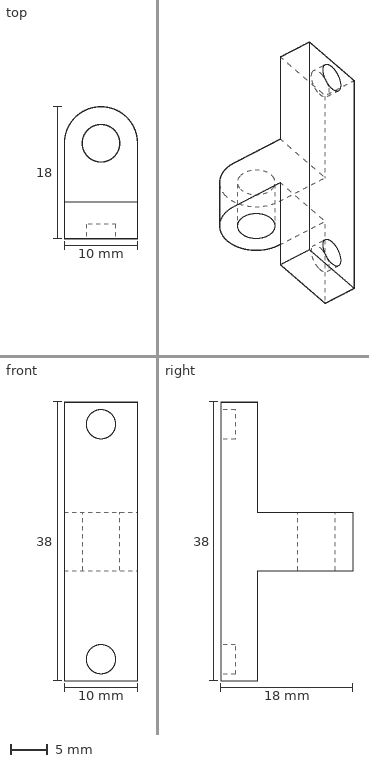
import cadquery as cq

plate_width = 10.0
plate_height = 38.0
plate_thickness = 5.0

overall_depth = 18.0
lug_height = 7.98
lug_radius = plate_width / 2
lug_center_y = overall_depth - lug_radius
lug_hole_diameter = 5.1

mount_hole_diameter = 4.0
mount_hole_depth = 2.0
mount_hole_spacing = 32.0


def make_plate():
    return cq.Workplane("XY").box(
        plate_width, plate_thickness, plate_height, centered=(True, False, True)
    )


def make_lug():
    return (
        cq.Workplane("XY")
        .workplane(offset=-lug_height / 2)
        .moveTo(-lug_radius, 0)
        .lineTo(lug_radius, 0)
        .lineTo(lug_radius, lug_center_y)
        .threePointArc((0, overall_depth), (-lug_radius, lug_center_y))
        .close()
        .extrude(lug_height)
    )


def make_lug_hole():
    return (
        cq.Workplane("XY")
        .center(0, lug_center_y)
        .circle(lug_hole_diameter / 2)
        .extrude(lug_height, both=True)
    )


def make_mount_holes():
    return (
        cq.Workplane("XZ")
        .rarray(0.38, mount_hole_spacing, 1, 2)
        .circle(mount_hole_diameter / 2)
        .extrude(-mount_hole_depth)
    )


result = make_plate().union(make_lug()).cut(make_lug_hole()).cut(make_mount_holes())